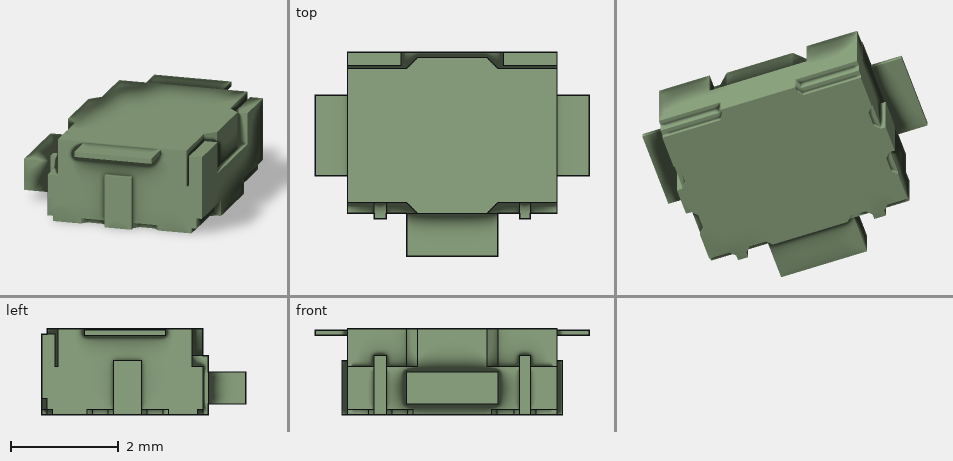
import cadquery as cq

BODY_X = 3.9
BODY_Y = 3.0
BODY_Z = 1.6
LEDGE_Z = 0.9
LID_STEP = 0.2
LID_NOSE_HALF = 0.65
LID_REAR_GAP = 0.1

PLATES_SPAN = 5.1
PLATE_Y_MIN = -0.8
PLATE_Y_MAX = 0.7
PLATE_Z_MIN = 1.48
PLATE_THICKNESS = 0.095

SIDE_TAB_PROJECTION = 0.1
SIDE_TAB_CENTER_Y = -0.1
SIDE_TAB_WIDTH = 0.52
SIDE_TAB_HEIGHT = 1.01

PIN_PROJECTION = 0.1
PIN_OUTER_X = 1.455
LEFT_PIN_WIDTH = 0.23
RIGHT_PIN_WIDTH = 0.2
PIN_HEIGHT = 1.1

BUTTON_X = 1.695
BUTTON_PROJECTION = 0.8
BUTTON_Z_MIN = 0.2
BUTTON_Z = 0.6

POST_X = 1.0
POST_Y = 0.25
POST_TOP = 1.5

RIM_HEIGHT = 0.1
RIM_DEPTH = 0.1
FRONT_NOTCH_END_X = 0.735
SIDE_NOTCH_HALF_SPAN = 0.755

REAR_CUT_HALF_X = 0.735
REAR_SLOPE_DEPTH = 0.1
REAR_UPPER_CUT_DEPTH = REAR_SLOPE_DEPTH
REAR_UPPER_CUT_TOP = 0.3
REAR_LOWER_CUT_DEPTH = 2 * REAR_SLOPE_DEPTH
REAR_CUT_SLOPE_X = 0.075

HALF_X = BODY_X / 2
HALF_Y = BODY_Y / 2
MIRROR_SIDES = (-1, 1)


def block(x_range, y_range, z_range):
    """Box spanning the given (low, high) ranges."""
    size = [high - low for low, high in (x_range, y_range, z_range)]
    corner = (x_range[0], y_range[0], z_range[0])
    return cq.Workplane("XY").box(*size, centered=False).translate(corner)


def prism(points, z_min, z_max):
    """Vertical prism over a plan outline."""
    return cq.Workplane("XY").workplane(offset=z_min).polyline(points).close().extrude(z_max - z_min)


def lid():
    """Lid whose front and rear ends narrow to a nose with sloped corners."""
    front = -HALF_Y
    rear = HALF_Y - LID_REAR_GAP
    shoulder_half = LID_NOSE_HALF + LID_STEP
    right_half = [
        (LID_NOSE_HALF, front),
        (shoulder_half, front + LID_STEP),
        (HALF_X, front + LID_STEP),
        (HALF_X, rear - LID_STEP),
        (shoulder_half, rear - LID_STEP),
        (LID_NOSE_HALF, rear),
    ]
    left_half = [(-x, y) for x, y in reversed(right_half)]
    return prism(right_half + left_half, LEDGE_Z, BODY_Z)


def pin(side, width):
    """Front pin reaching back over the ledge to the stepped end of the lid."""
    x_range = sorted((side * PIN_OUTER_X, side * (PIN_OUTER_X - width)))
    y_range = (-HALF_Y - PIN_PROJECTION, -HALF_Y + LID_STEP)
    return block(x_range, y_range, (0, PIN_HEIGHT))


def post(side):
    """Rear corner post standing on the base behind the lid."""
    x_range = sorted((side * HALF_X, side * (HALF_X - POST_X)))
    return block(x_range, (HALF_Y - POST_Y, HALF_Y), (LEDGE_Z, POST_TOP))


def notch_outline(start, end):
    """Trapezoid as (position along the face, depth into the face) points."""
    return [(start, 0), (start + RIM_DEPTH, RIM_DEPTH), (end - RIM_DEPTH, RIM_DEPTH), (end, 0)]


def front_notches(side, pin_width):
    """Notch from the pin to the middle, and an open one from the pin to the corner."""
    outlines = [
        notch_outline(FRONT_NOTCH_END_X, PIN_OUTER_X - pin_width),
        [(PIN_OUTER_X, 0), (PIN_OUTER_X + RIM_DEPTH, RIM_DEPTH), (HALF_X, RIM_DEPTH), (HALF_X, 0)],
    ]
    cuts = []
    for outline in outlines:
        points = [(side * x, depth - HALF_Y) for x, depth in outline]
        cuts.append(prism(points, 0, RIM_HEIGHT))
    return cuts[0].union(cuts[1])


def side_notches(side):
    """One notch on each side of the side tab."""
    tab_half = SIDE_TAB_WIDTH / 2
    outline = notch_outline(tab_half, SIDE_NOTCH_HALF_SPAN)
    cuts = []
    for direction in MIRROR_SIDES:
        points = [(side * (HALF_X - depth), SIDE_TAB_CENTER_Y + direction * y) for y, depth in outline]
        cuts.append(prism(points, 0, RIM_HEIGHT))
    return cuts[0].union(cuts[1])


def rear_undercut(side, depth, z_min, z_max):
    """Rear corner cut, open at the side; its inner end is straight at the face and then slopes."""
    rear = HALF_Y
    straight_depth = depth - REAR_SLOPE_DEPTH
    points = [(side * REAR_CUT_HALF_X, rear)] if straight_depth > 0 else []
    points += [
        (side * REAR_CUT_HALF_X, rear - straight_depth),
        (side * (REAR_CUT_HALF_X + REAR_CUT_SLOPE_X), rear - depth),
        (side * HALF_X, rear - depth),
        (side * HALF_X, rear),
    ]
    return prism(points, z_min, z_max)


body = block((-HALF_X, HALF_X), (-HALF_Y, HALF_Y), (0, LEDGE_Z)).union(lid())
for side in MIRROR_SIDES:
    body = body.union(post(side))

pins = ((-1, LEFT_PIN_WIDTH), (1, RIGHT_PIN_WIDTH))
for side, pin_width in pins:
    body = body.cut(front_notches(side, pin_width))
    body = body.cut(side_notches(side))
    body = body.cut(rear_undercut(side, REAR_UPPER_CUT_DEPTH, RIM_HEIGHT, REAR_UPPER_CUT_TOP))
    body = body.cut(rear_undercut(side, REAR_LOWER_CUT_DEPTH, 0, RIM_HEIGHT))

plates = block(
    (-PLATES_SPAN / 2, PLATES_SPAN / 2),
    (PLATE_Y_MIN, PLATE_Y_MAX),
    (PLATE_Z_MIN, PLATE_Z_MIN + PLATE_THICKNESS),
)
side_tab_reach = HALF_X + SIDE_TAB_PROJECTION
side_tabs = block(
    (-side_tab_reach, side_tab_reach),
    (SIDE_TAB_CENTER_Y - SIDE_TAB_WIDTH / 2, SIDE_TAB_CENTER_Y + SIDE_TAB_WIDTH / 2),
    (0, SIDE_TAB_HEIGHT),
)
body = body.union(plates).union(side_tabs)

for side, pin_width in pins:
    body = body.union(pin(side, pin_width))
button = block(
    (-BUTTON_X / 2, BUTTON_X / 2),
    (-HALF_Y - BUTTON_PROJECTION, -HALF_Y),
    (BUTTON_Z_MIN, BUTTON_Z_MIN + BUTTON_Z),
)
result = body.union(button)